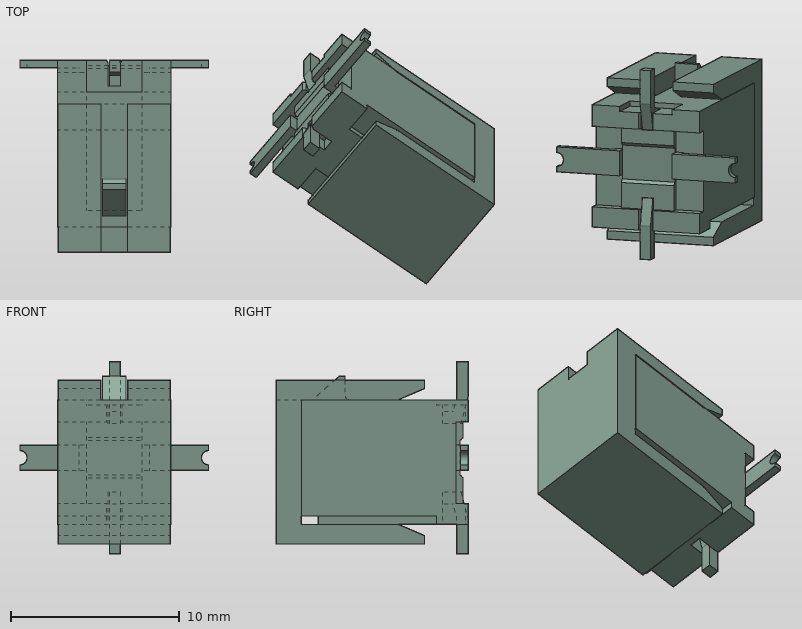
import cadquery as cq
import math


TOTAL_LENGTH = 11.4
TOTAL_HEIGHT = 11.4
TOTAL_WIDTH = 11.2

COVER_WIDTH = 6.66
COVER_ARM_THICKNESS = 1.17
COVER_WEB_THICKNESS = 1.49
COVER_TIP_Y = -2.6
COVER_TIP_THICKNESS = 0.51
COVER_RAMP_LENGTH = 1.55
COVER_SLOT_WIDTH = 1.58

HOUSING_WIDTH = 6.75
CENTRE_WIDTH = 3.3
HOUSING_TOP = 3.43
HOUSING_BOTTOM = -3.95
HOUSING_FRONT_Y = COVER_WEB_THICKNESS - TOTAL_LENGTH

RECESS_TOP = HOUSING_TOP - 1.3
RECESS_BOTTOM = HOUSING_BOTTOM + 1.22
RECESS_DEPTH = 0.73
BLOCK_DEPTH = 0.31
CHANNEL_HEIGHT = 2.04
CHANNEL_CHAMFER = 0.18

NOTCH_LENGTH = 1.88
NOTCH_DEPTH = 0.31
STEP_HEIGHT = 0.49
RIB_END_Y = -8.91

LATCH_WIDTH = 1.41
LATCH_TOP = 4.83
LATCH_BACK_Y = -7.31
LATCH_CREST_Y = -7.66
LATCH_TOE_Y = -9.25
LATCH_HEEL_RADIUS = 0.26

PIN_WIDTH = 0.65
PIN_THICKNESS = 0.7
PIN_OFFSET_X = 0.03
PIN_BACK_BEND_Z = 3.67
PIN_FRONT_BEND_Z = 3.56
PIN_TILT = 15.0
PIN_LEG_TOP = 2.74
PIN_LEG_BOTTOM = PIN_LEG_TOP - PIN_THICKNESS
PIN_LEG_END_Y = -1.54
PIN_SLOT_WIDTH = 0.72
PIN_SLOT_CHAMFER_WIDTH = 0.09
PIN_SLOT_CHAMFER_DEPTH = 0.18

TAB_HEIGHT = 1.5
TAB_THICKNESS = 0.46
TAB_NOTCH_RADIUS = 0.42


def box(x_range, y_range, z_range):
    """Axis-aligned box given by its low and high limits along X, Y and Z."""
    lows, highs = zip(x_range, y_range, z_range)
    sizes = [high - low for low, high in zip(lows, highs)]
    return cq.Workplane("XY").box(*sizes, centered=False).translate(lows)


def centred(width):
    """Limits of a span centred on zero."""
    return (-width / 2, width / 2)


def extrude_along_x(points, width):
    """Prism of a (Y, Z) outline, centred on X = 0."""
    return cq.Workplane("YZ").polyline(points).close().extrude(width / 2, both=True)


def mirror_z(body):
    return body.mirror("XY")


def make_cover():
    front_y = -TOTAL_LENGTH
    top = HOUSING_TOP + COVER_ARM_THICKNESS
    bottom = HOUSING_BOTTOM - COVER_ARM_THICKNESS
    ramp_end_y = COVER_TIP_Y - COVER_RAMP_LENGTH
    outline = [
        (front_y, bottom),
        (COVER_TIP_Y, bottom),
        (COVER_TIP_Y, bottom + COVER_TIP_THICKNESS),
        (ramp_end_y, HOUSING_BOTTOM),
        (HOUSING_FRONT_Y, HOUSING_BOTTOM),
        (HOUSING_FRONT_Y, HOUSING_TOP),
        (ramp_end_y, HOUSING_TOP),
        (COVER_TIP_Y, top - COVER_TIP_THICKNESS),
        (COVER_TIP_Y, top),
        (front_y, top),
    ]
    latch_slot = box(centred(COVER_SLOT_WIDTH), (front_y, COVER_TIP_Y), (HOUSING_TOP, top))
    return extrude_along_x(outline, COVER_WIDTH).cut(latch_slot)


def mounting_face_recess():
    """Recess in the mounting face, deeper on both sides of a block with a channel across it."""
    recess_z = (RECESS_BOTTOM, RECESS_TOP)
    deep = box(centred(HOUSING_WIDTH), (-RECESS_DEPTH, 0), recess_z)
    block = box(centred(CENTRE_WIDTH), (-RECESS_DEPTH, -BLOCK_DEPTH), recess_z)
    half_floor = CHANNEL_HEIGHT / 2
    half_mouth = half_floor + CHANNEL_CHAMFER
    floor_y = -BLOCK_DEPTH - CHANNEL_CHAMFER
    channel_outline = [
        (-BLOCK_DEPTH, -half_mouth),
        (-BLOCK_DEPTH, half_mouth),
        (floor_y, half_floor),
        (floor_y, -half_floor),
    ]
    return deep.cut(block.cut(extrude_along_x(channel_outline, CENTRE_WIDTH)))


def pin_slot(outer_z):
    """Slot for the upper pin, open to the mounting face with a chamfered mouth."""
    half = PIN_SLOT_WIDTH / 2
    outline = [
        (-half, PIN_LEG_END_Y),
        (-half, -PIN_SLOT_CHAMFER_DEPTH),
        (-half - PIN_SLOT_CHAMFER_WIDTH, 0),
        (half + PIN_SLOT_CHAMFER_WIDTH, 0),
        (half, -PIN_SLOT_CHAMFER_DEPTH),
        (half, PIN_LEG_END_Y),
    ]
    slot = cq.Workplane("XY").polyline(outline).close().extrude(outer_z - PIN_LEG_BOTTOM)
    return slot.translate((0, 0, PIN_LEG_BOTTOM))


def bottom_steps():
    """Space beside and beyond the rib under the housing."""
    step_z = (HOUSING_BOTTOM, HOUSING_BOTTOM + STEP_HEIGHT)
    full = box(centred(HOUSING_WIDTH), (HOUSING_FRONT_Y, -NOTCH_LENGTH), step_z)
    rib = box(centred(CENTRE_WIDTH), (RIB_END_Y, -NOTCH_LENGTH), step_z)
    return full.cut(rib)


def latch():
    """Snap wedge with a rounded heel running out into the top face of the housing."""
    arc_middle = LATCH_HEEL_RADIUS * (1 - math.sqrt(0.5))
    outline = (
        cq.Workplane("YZ")
        .moveTo(LATCH_TOE_Y, HOUSING_TOP)
        .lineTo(LATCH_CREST_Y, LATCH_TOP)
        .lineTo(LATCH_BACK_Y, LATCH_TOP)
        .lineTo(LATCH_BACK_Y, HOUSING_TOP + LATCH_HEEL_RADIUS)
        .threePointArc(
            (LATCH_BACK_Y + arc_middle, HOUSING_TOP + arc_middle),
            (LATCH_BACK_Y + LATCH_HEEL_RADIUS, HOUSING_TOP),
        )
        .close()
    )
    return outline.extrude(LATCH_WIDTH / 2, both=True)


def make_housing():
    body = box(centred(HOUSING_WIDTH), (HOUSING_FRONT_Y, 0), (HOUSING_BOTTOM, HOUSING_TOP))
    top_notch = box(centred(CENTRE_WIDTH), (-NOTCH_LENGTH, 0), (HOUSING_TOP - NOTCH_DEPTH, HOUSING_TOP))
    body = body.cut(mounting_face_recess()).cut(top_notch).cut(bottom_steps())
    body = body.cut(pin_slot(HOUSING_TOP)).cut(mirror_z(pin_slot(-HOUSING_BOTTOM)))
    return body.union(latch())


def make_pin():
    """Upper pin: upright, then tilted into the housing slot, ending in a level leg on its floor."""
    slope = math.tan(math.radians(PIN_TILT))
    outline = [
        (0, TOTAL_HEIGHT / 2),
        (0, PIN_BACK_BEND_Z),
        (-(PIN_BACK_BEND_Z - PIN_LEG_BOTTOM) * slope, PIN_LEG_BOTTOM),
        (PIN_LEG_END_Y, PIN_LEG_BOTTOM),
        (PIN_LEG_END_Y, PIN_LEG_TOP),
        (-PIN_THICKNESS - (PIN_FRONT_BEND_Z - PIN_LEG_TOP) * slope, PIN_LEG_TOP),
        (-PIN_THICKNESS, PIN_FRONT_BEND_Z),
        (-PIN_THICKNESS, TOTAL_HEIGHT / 2),
    ]
    return extrude_along_x(outline, PIN_WIDTH).translate((PIN_OFFSET_X, 0, 0))


def make_tab():
    """Right-hand tab: a plate with a round end notch and a foot beside the housing block."""
    inner_x = CENTRE_WIDTH / 2
    outer_x = TOTAL_WIDTH / 2
    tab_z = centred(TAB_HEIGHT)
    plate = box((inner_x, outer_x), (-TAB_THICKNESS, 0), tab_z)
    foot = box((inner_x, inner_x + TAB_THICKNESS), (-RECESS_DEPTH, 0), tab_z)
    end_notch = cq.Workplane("XZ").center(outer_x, 0).circle(TAB_NOTCH_RADIUS).extrude(TAB_THICKNESS)
    return plate.union(foot).cut(end_notch)


cover = make_cover()
housing = make_housing()
upper_pin = make_pin()
pins = [upper_pin, mirror_z(upper_pin)]
right_tab = make_tab()
tabs = [right_tab, right_tab.mirror("YZ")]

result = cq.Compound.makeCompound([body.val() for body in [cover, housing, *pins, *tabs]])